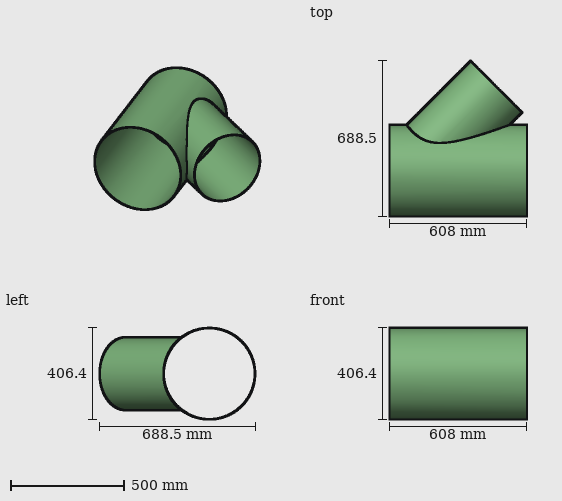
import cadquery as cq
import math

wall = 3.0
main_diameter = 406.4
main_length = 608.0

branch_diameter = 323.9
branch_angle = 45.0
axes_crossing_x = 101.0
branch_setback = 40.0
overall_width = 688.46

main_radius = main_diameter / 2
branch_radius = branch_diameter / 2
angle = math.radians(branch_angle)

branch_tip_y = overall_width - main_radius
branch_reach = (branch_tip_y - branch_radius * math.cos(angle)) / math.sin(angle)


def main_cylinder(radius):
    """Cylinder along the main pipe axis."""
    return cq.Workplane("YZ").circle(radius).extrude(main_length)


def branch_cylinder(radius):
    """Cylinder along the branch axis, from inside the main bore to the branch end."""
    axes_crossing_plane = cq.Plane(
        origin=(axes_crossing_x, 0, 0),
        xDir=(0, 0, 1),
        normal=(math.cos(angle), math.sin(angle), 0),
    )
    start = cq.Workplane(axes_crossing_plane).workplane(offset=branch_setback)
    return start.circle(radius).extrude(branch_reach - branch_setback)


outer_body = main_cylinder(main_radius).union(branch_cylinder(branch_radius))
main_bore = main_cylinder(main_radius - wall)
branch_bore = branch_cylinder(branch_radius - wall)

result = outer_body.cut(main_bore).cut(branch_bore)